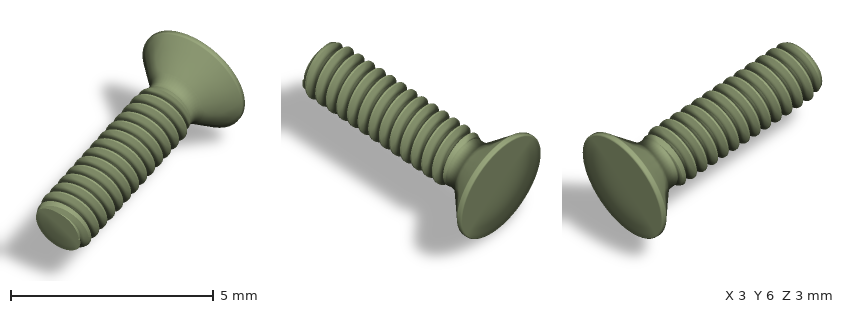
import cadquery as cq
import math


SCREW_LENGTH = 6.0
HEAD_RADIUS = 1.5

HEAD_RIM_HEIGHT = 0.14
RIM_FILLET = 0.04
CONE_HALF_ANGLE = math.radians(45)
NECK_RADIUS = 0.687
NECK_FILLET = 0.4
NECK_END = 1.217

PITCH = 0.35
CREST_RADIUS = 0.8
ROOT_RADIUS = 0.59
CREST_FLAT = PITCH / 8
FLANK_HALF_ANGLE = math.radians(30)
LAST_CREST_TO_TIP = 0.235
CREST_RUNOUT = 0.25
ROOT_RUNOUT = 0.18
TIP_RADIUS = 0.684
TIP_TAPER_LENGTH = 0.27

RIDGE_EMBEDMENT = 0.03
SPARE_TURNS = 2


def head_and_neck():
    """Countersunk head with a rounded transition into the cylindrical neck."""
    rim_setback = RIM_FILLET * math.tan(CONE_HALF_ANGLE / 2)
    rim_end = HEAD_RIM_HEIGHT - rim_setback
    cone_start = (
        HEAD_RADIUS - rim_setback * math.sin(CONE_HALF_ANGLE),
        HEAD_RIM_HEIGHT + rim_setback * math.cos(CONE_HALF_ANGLE),
    )
    fillet_drop = NECK_FILLET * math.sin(CONE_HALF_ANGLE)
    cone_end_radius = NECK_RADIUS + NECK_FILLET * (1 - math.cos(CONE_HALF_ANGLE))
    cone_end = HEAD_RIM_HEIGHT + (HEAD_RADIUS - cone_end_radius) / math.tan(CONE_HALF_ANGLE)
    fillet_end = cone_end + fillet_drop
    half_angle = CONE_HALF_ANGLE / 2
    fillet_middle = (
        NECK_RADIUS + NECK_FILLET * (1 - math.cos(half_angle)),
        fillet_end - NECK_FILLET * math.sin(half_angle),
    )
    return (
        cq.Workplane("XZ")
        .lineTo(HEAD_RADIUS - RIM_FILLET, 0)
        .radiusArc((HEAD_RADIUS, RIM_FILLET), -RIM_FILLET)
        .lineTo(HEAD_RADIUS, rim_end)
        .radiusArc(cone_start, -RIM_FILLET)
        .lineTo(cone_end_radius, cone_end)
        .threePointArc(fillet_middle, (NECK_RADIUS, fillet_end))
        .lineTo(NECK_RADIUS, NECK_END)
        .lineTo(0, NECK_END)
        .close()
        .revolve(360, (0, 0, 0), (0, 1, 0))
    )


def thread_envelope():
    """Envelope of the thread crests, tapered towards the neck and towards the tip."""
    return (
        cq.Workplane("XZ")
        .moveTo(0, NECK_END)
        .lineTo(NECK_RADIUS, NECK_END)
        .lineTo(CREST_RADIUS, NECK_END + CREST_RUNOUT)
        .lineTo(CREST_RADIUS, SCREW_LENGTH - TIP_TAPER_LENGTH)
        .lineTo(TIP_RADIUS, SCREW_LENGTH)
        .lineTo(0, SCREW_LENGTH)
        .close()
        .revolve(360, (0, 0, 0), (0, 1, 0))
    )


def thread_core():
    """Root cylinder of the thread, with the neck closing down to it as a short cone."""
    return (
        cq.Workplane("XZ")
        .moveTo(0, NECK_END)
        .lineTo(NECK_RADIUS, NECK_END)
        .lineTo(ROOT_RADIUS, NECK_END + ROOT_RUNOUT)
        .lineTo(ROOT_RADIUS, SCREW_LENGTH)
        .lineTo(0, SCREW_LENGTH)
        .close()
        .revolve(360, (0, 0, 0), (0, 1, 0))
    )


def thread_ridge():
    """Right-handed helical ridge, longer than the thread at both ends."""
    base_radius = ROOT_RADIUS - RIDGE_EMBEDMENT
    crest_half_width = CREST_FLAT / 2
    base_half_width = crest_half_width + (CREST_RADIUS - base_radius) * math.tan(FLANK_HALF_ANGLE)
    turns = math.ceil((SCREW_LENGTH - NECK_END) / PITCH) + SPARE_TURNS
    last_crest = SCREW_LENGTH - LAST_CREST_TO_TIP
    start = last_crest + SPARE_TURNS / 2 * PITCH - turns * PITCH
    profile = (
        cq.Workplane("XZ", origin=(0, 0, start))
        .moveTo(base_radius, -base_half_width)
        .lineTo(CREST_RADIUS, -crest_half_width)
        .lineTo(CREST_RADIUS, crest_half_width)
        .lineTo(base_radius, base_half_width)
        .close()
    )
    helix = cq.Wire.makeHelix(PITCH, turns * PITCH, base_radius, cq.Vector(0, 0, start))
    return profile.sweep(cq.Workplane(obj=helix), isFrenet=True)


ridge = thread_ridge().intersect(thread_envelope())
screw = head_and_neck().union(thread_core()).union(ridge)
result = screw.rotate((0, 0, 0), (1, 0, 0), 90).solids()